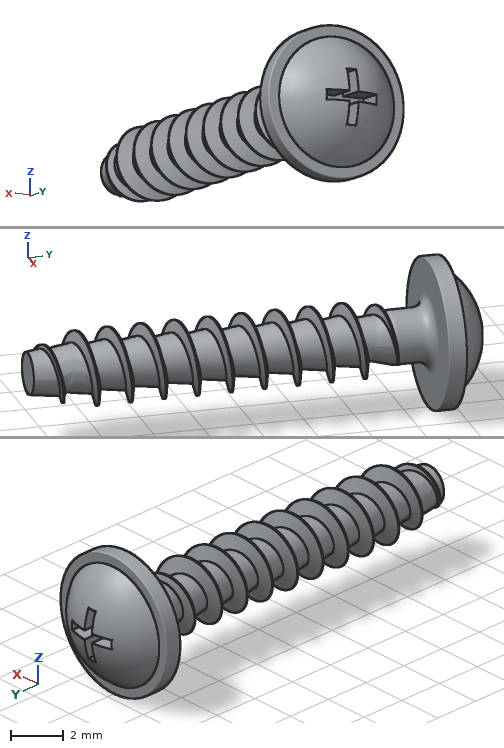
import cadquery as cq
import math


length = 16.0
flange_dia = 6.0
flange_thickness = 0.72
flange_edge_radius = 0.05
dome_base_dia = 5.1
dome_height = 1.36

recess_span = 2.2
recess_arm_width = 0.4
recess_depth = 1.2

shank_dia = 2.14
shank_length = 1.5
neck_fillet = 0.5
neck_cone_length = 0.9
core_dia = 1.66
tip_dia = 1.68
tip_cone_length = 1.6

thread_dia = 3.0
pitch = 1.34
crest_width = 0.05
root_width = 0.44
faded_root_width = 0.16
root_dia = 1.6
taper_large_dia = 2.10
taper_small_dia = 1.74
start_taper_dia = 1.64
taper_gap = 0.04
thread_origin = 1.57
turn_start = -0.25
turn_full = 0.75
turn_fade = 9.25
turn_end = 10.75
taper_turn_end = 11.0
start_crest_dia = 2.12
end_crest_dia = 1.74
rail_points_per_turn = 24

core_radius = core_dia / 2
root_radius = root_dia / 2
head_top = flange_thickness + dome_height


def make_body():
    """Head, shank, neck cone and straight core as one revolved outline."""
    flange_radius = flange_dia / 2
    shank_radius = shank_dia / 2
    dome_base_radius = dome_base_dia / 2
    dome_radius = (dome_base_radius**2 + dome_height**2) / (2 * dome_height)
    half_angle = math.asin(dome_base_radius / dome_radius) / 2
    dome_mid = (
        dome_radius * math.sin(half_angle),
        -head_top + dome_radius * (1 - math.cos(half_angle)),
    )
    diagonal = 1 - math.sqrt(0.5)
    edge = flange_edge_radius
    upper_edge_mid = (flange_radius - edge * diagonal, edge * diagonal - flange_thickness)
    lower_edge_mid = (flange_radius - edge * diagonal, -edge * diagonal)
    neck_mid = (shank_radius + neck_fillet * diagonal, neck_fillet * diagonal)
    outline = (
        cq.Workplane("XZ")
        .moveTo(0, -head_top)
        .threePointArc(dome_mid, (dome_base_radius, -flange_thickness))
        .lineTo(flange_radius - edge, -flange_thickness)
        .threePointArc(upper_edge_mid, (flange_radius, edge - flange_thickness))
        .lineTo(flange_radius, -edge)
        .threePointArc(lower_edge_mid, (flange_radius - edge, 0))
        .lineTo(shank_radius + neck_fillet, 0)
        .threePointArc(neck_mid, (shank_radius, neck_fillet))
        .lineTo(shank_radius, shank_length)
        .lineTo(core_radius, shank_length + neck_cone_length)
        .lineTo(core_radius, length)
        .lineTo(0, length)
        .close()
    )
    return outline.revolve(360, (0, 0, 0), (0, 1, 0))


def make_recess():
    """Cross-shaped driver recess sunk into the top of the dome."""
    plane = cq.Workplane("XY").workplane(offset=-head_top)
    arm_x = plane.rect(recess_span, recess_arm_width).extrude(recess_depth)
    arm_y = plane.rect(recess_arm_width, recess_span).extrude(recess_depth)
    return arm_x.union(arm_y)


def thread_profile(crest_dia, width):
    """(radius, axial offset) corners of the thread ridge."""
    return [
        (root_radius, -width / 2),
        (crest_dia / 2, -crest_width / 2),
        (crest_dia / 2, crest_width / 2),
        (root_radius, width / 2),
    ]


def taper_profile(large_dia, small_dia):
    """(radius, axial offset) corners of the core taper from one thread to the next."""
    taper_end = pitch - taper_gap
    return [
        (root_radius, 0),
        (large_dia / 2, 0),
        (small_dia / 2, taper_end),
        (root_radius, taper_end),
    ]


def point_at(turn, radius, offset):
    """Point on the helix of the given radius, shifted along the axis by offset."""
    angle = 2 * math.pi * turn
    axial = thread_origin + pitch * turn + offset
    return cq.Vector(radius * math.cos(angle), radius * math.sin(angle), axial)


def make_rail(turn_a, corner_a, turn_b, corner_b):
    """Helical edge whose radius and offset change evenly from one corner to the other."""
    steps = math.ceil((turn_b - turn_a) * rail_points_per_turn)
    points = []
    for step in range(steps + 1):
        share = step / steps
        radius = corner_a[0] + share * (corner_b[0] - corner_a[0])
        offset = corner_a[1] + share * (corner_b[1] - corner_a[1])
        points.append(point_at(turn_a + share * (turn_b - turn_a), radius, offset))
    return cq.Edge.makeSpline(points)


def make_cap(turn, profile):
    """Flat end face of a helical solid, in the plane through the axis."""
    corners = [point_at(turn, radius, offset) for radius, offset in profile]
    return cq.Face.makeFromWires(cq.Wire.makePolygon(corners, close=True))


def make_helical_solid(stations):
    """Solid through (turn, profile) stations, with helical surfaces between them."""
    faces = [make_cap(*stations[0]), make_cap(*stations[-1])]
    for (turn_a, profile_a), (turn_b, profile_b) in zip(stations, stations[1:]):
        rails = [make_rail(turn_a, a, turn_b, b) for a, b in zip(profile_a, profile_b)]
        for rail, next_rail in zip(rails, rails[1:] + rails[:1]):
            faces.append(cq.Face.makeRuledSurface(rail, next_rail))
    return cq.Workplane(cq.Solid.makeSolid(cq.Shell.makeShell(faces)))


def make_thread():
    """Thread growing out of the shank, running at full height and fading into the tip."""
    full = thread_profile(thread_dia, root_width)
    return make_helical_solid([
        (turn_start, thread_profile(start_crest_dia, faded_root_width)),
        (turn_full, full),
        (turn_fade, full),
        (turn_end, thread_profile(end_crest_dia, faded_root_width)),
    ])


def make_core_taper():
    """Core surface that narrows from each thread turn to the next."""
    full = taper_profile(taper_large_dia, taper_small_dia)
    return make_helical_solid([
        (turn_start, taper_profile(start_taper_dia, start_taper_dia)),
        (turn_full, full),
        (taper_turn_end, full),
    ])


def make_tip_trim():
    """Block beyond the tip that cuts the last thread turn flush."""
    return cq.Workplane("XY").workplane(offset=length).rect(flange_dia, flange_dia).extrude(2 * pitch)


def make_tip_cone_trim():
    """Ring around the tip whose conical bore rounds off the core taper."""
    ring = (
        cq.Workplane("XZ")
        .moveTo(taper_large_dia / 2, length - tip_cone_length)
        .lineTo(thread_dia / 2, length - tip_cone_length)
        .lineTo(thread_dia / 2, length)
        .lineTo(tip_dia / 2, length)
        .close()
    )
    return ring.revolve(360, (0, 0, 0), (0, 1, 0))


tip_trim = make_tip_trim()
thread = make_thread().cut(tip_trim)
core_taper = make_core_taper().cut(tip_trim).cut(make_tip_cone_trim())
screw = make_body().cut(make_recess()).union(core_taper).union(thread)
result = screw.rotate((0, 0, 0), (1, 0, 0), 90).solids()